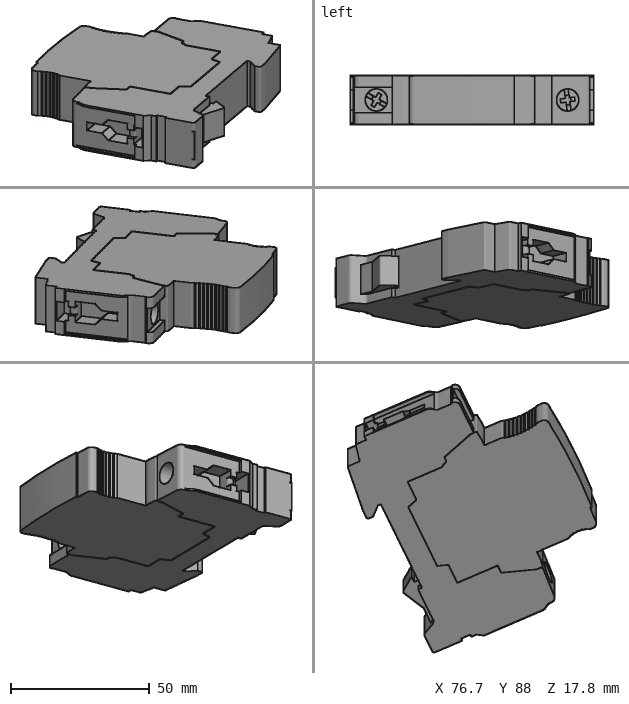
import cadquery as cq
import math


HEIGHT = 88.0
WIDTH = 17.8
TOP = HEIGHT / 2

SHOULDER_Y = 42.5
HOUSING_X = 27.3
FOOT_X = 76.1
RAIL_X = 69.3
CORNER_R = 1.9
GRIP_DIP = 0.3

MODULE_WIDTH = 17.4
COVER_Y = 22.7
WING_Y = 28.7
WING_X = 25.8
WING_CORNER_R = 0.4
FRONT_CROWN_R = 211.2
FRONT_CORNER_R = 1.9
GROOVE_PITCH = 1.5
GROOVE_R = 0.31
GRIP_SAG = 1.1
UPPER_GRIP = (4.4, 19.2)
LOWER_GRIP = (4.75, 13.4)

LATCH_WIDTH = 10.9
LATCH_TIP_X = 76.65
LATCH_TIP_TRIM = 0.2

TERMINAL_Y = 34.5
SCREW_D = 8.0
LOWER_SCREW_DEPTH = 4.8
UPPER_SCREW_DEPTH = 7.9
LOWER_SCREW_TURN = -8
UPPER_SCREW_TURN = -60
SCREW_SLOT_W = 1.4
SCREW_SLOT_DEPTH = 0.7
CROSS_ARM = 5.2
CROSS_UPRIGHT = 3.3
CROSS_DEPTH = 1.2
TROUGH_WIDTH = 9.2
TROUGH_DEPTH = 1.85

PAD_RECESS_WIDTH = 16.4
PAD_RECESS_START = 29.4
PAD_RECESS_END = 53.1
ENTRY_DEPTH = 8.45
CLAMP_START = 52.1
CLAMP_END = 56.1
CLAMP_WIDTH = 7.4
KEYHOLE_START = 33.4
KEYHOLE_END = 49.5
KEYHOLE_WIDTH = 8.0
WEB_SLOT_WIDTH = 3.3
WEB_SLOT_DEPTH = 1.6
WEB_ROUND = 0.9
UPPER_PAD_SHIFT = 7.1


def rounded_prism(corners, width):
    """Prism centred on Z = 0; each corner is (x, y) or (x, y, radius)."""
    path = []
    for i, corner in enumerate(corners):
        x, y = corner[:2]
        radius = corner[2] if len(corner) == 3 else 0
        if radius == 0:
            path.append([(x, y)])
            continue
        before = corners[i - 1]
        after = corners[(i + 1) % len(corners)]
        a = cq.Vector(before[0] - x, before[1] - y).normalized()
        b = cq.Vector(after[0] - x, after[1] - y).normalized()
        half = a.getAngle(b) / 2
        setback = radius / math.tan(half)
        to_arc = radius / math.sin(half) - radius
        middle = (a + b).normalized() * to_arc
        path.append([
            (x + a.x * setback, y + a.y * setback),
            (x + middle.x, y + middle.y),
            (x + b.x * setback, y + b.y * setback),
        ])
    outline = cq.Workplane("XY").moveTo(*path[0][-1])
    for points in path[1:] + path[:1]:
        outline = outline.lineTo(*points[0])
        if len(points) == 3:
            outline = outline.threePointArc(points[1], points[2])
    return outline.close().extrude(width / 2, both=True)


def block(x0, x1, y0, y1, width):
    """Box between two X and two Y limits, centred on Z = 0."""
    return cq.Workplane("XY").box(x1 - x0, y1 - y0, width).translate(((x0 + x1) / 2, (y0 + y1) / 2, 0))


def make_base():
    """Terminal housing and rail foot, counterclockwise from the lower front corner."""
    return rounded_prism([
        (26.4, -28.7, 0.8),
        (HOUSING_X, -SHOULDER_Y, CORNER_R),
        (30.2, -SHOULDER_Y, 2.6),
        (32.7, -TOP, 2.6),
        (56.6, -TOP),
        (59.0, -SHOULDER_Y),
        (61.0, -SHOULDER_Y),
        (61.0, -41.6),
        (64.6, -41.6),
        (64.6, -SHOULDER_Y),
        (FOOT_X, -SHOULDER_Y, 0.9),
        (FOOT_X, -34.5, 1.3),
        (70.75, -31.8, 1.3),
        (70.75, -17.9),
        (RAIL_X, -17.9),
        (RAIL_X, 17.6),
        (70.4, 17.6),
        (73.7, 14.4),
        (FOOT_X, 14.4, 0.8),
        (FOOT_X, 18.3),
        (74.1, 35.9, 0.4),
        (RAIL_X, 35.9),
        (67.85, 42.4, 0.4),
        (63.7, 42.4),
        (63.7, TOP),
        (38.3, TOP, 1.8),
        (35.5, SHOULDER_Y - GRIP_DIP, 1.8),
        (30.1, SHOULDER_Y - GRIP_DIP),
        (29.5, SHOULDER_Y),
        (HOUSING_X, SHOULDER_Y, CORNER_R),
        (HOUSING_X, WING_Y - 0.9),
        (44.0, 0),
        (HOUSING_X, -WING_Y),
    ], WIDTH)


def thumb_grip(x0, x1, side):
    """Cutter for a grooved hollow in the cover, on the +Y (side 1) or -Y (side -1) edge."""
    half_chord = (x1 - x0) / 2
    middle_x = (x0 + x1) / 2
    radius = (half_chord ** 2 + GRIP_SAG ** 2) / (2 * GRIP_SAG)
    centre_y = COVER_Y - GRIP_SAG + radius
    hollow = cq.Workplane("XY").center(middle_x, side * centre_y).circle(radius)
    within_chord = cq.Workplane("XY").box(2 * half_chord, HEIGHT, WIDTH).translate((middle_x, 0, 0))
    cutter = hollow.extrude(WIDTH / 2, both=True).intersect(within_chord)
    steps = int((half_chord - GROOVE_R) / GROOVE_PITCH)
    for step in range(-steps, steps + 1):
        offset = step * GROOVE_PITCH
        groove_y = centre_y - math.sqrt(radius ** 2 - offset ** 2)
        groove = cq.Workplane("XY").center(middle_x + offset, side * groove_y).polygon(4, 2 * GROOVE_R)
        cutter = cutter.union(groove.extrude(WIDTH / 2, both=True))
    return cutter


MODULE_OUTLINE = [
    (0, -15.2),
    (1.2, -15.2),
    (1.7, -COVER_Y, FRONT_CORNER_R),
    (WING_X, -COVER_Y),
    (WING_X, -25.1),
    (26.1, -WING_Y, WING_CORNER_R),
    (28.6, -WING_Y, 2.6),
    (40.8, -24.55),
    (40.8, -21.5),
    (56.85, -21.5),
    (56.85, -13.8),
    (60.7, -12.5),
    (60.7, 12.5),
    (56.85, 13.8),
    (56.85, 21.5),
    (43.4, 21.5),
    (40.8, 22.8),
    (40.8, 24.55),
    (28.6, WING_Y, 2.6),
    (26.1, WING_Y, WING_CORNER_R),
    (WING_X, 25.1),
    (WING_X, COVER_Y),
    (0, COVER_Y),
]


def make_module():
    """Front module with a crowned front face and two grooved thumb hollows."""
    module = rounded_prism(MODULE_OUTLINE, MODULE_WIDTH)
    crown = cq.Workplane("XY").center(FRONT_CROWN_R, 0).circle(FRONT_CROWN_R).extrude(WIDTH / 2, both=True)
    module = module.intersect(crown)
    corner = cq.selectors.NearestToPointSelector((0, COVER_Y, 0))
    module = module.edges("|Z").edges(corner).fillet(FRONT_CORNER_R)
    module = module.cut(thumb_grip(*UPPER_GRIP, 1))
    return module.cut(thumb_grip(*LOWER_GRIP, -1))


def make_latch():
    """Sliding latch: a hook behind the rail and a bar that runs through the foot."""
    return rounded_prism([
        (66.0, -15.8),
        (71.4, -15.8),
        (71.4, -13.55),
        (LATCH_TIP_X + LATCH_TIP_TRIM, -17.7, 0.7),
        (72.5, -26.5),
        (72.5, -36.1),
        (76.0, -36.1),
        (76.0, -SHOULDER_Y),
        (66.0, -SHOULDER_Y),
    ], LATCH_WIDTH)


def screw_well(y, depth, turn):
    """Cutter for a round well with a slotted cross-head screw at its bottom."""
    head_x = HOUSING_X + depth
    well = cq.Workplane("YZ", origin=(WING_X, y, 0)).circle(SCREW_D / 2).extrude(head_x - WING_X)
    face = cq.Workplane("YZ", origin=(head_x, y, 0)).transformed(rotate=(0, 0, turn))
    slot = face.rect(SCREW_SLOT_W, SCREW_D).extrude(SCREW_SLOT_DEPTH)
    disc = face.circle(SCREW_D / 2).extrude(SCREW_SLOT_DEPTH)
    cross = face.rect(CROSS_ARM, SCREW_SLOT_W).extrude(CROSS_DEPTH)
    upright = face.rect(SCREW_SLOT_W, CROSS_UPRIGHT).extrude(CROSS_DEPTH)
    return well.union(slot.intersect(disc)).union(cross).union(upright)


def wire_entry():
    """Cutter for the lower side pad: shallow recess, keyhole, slotted web and clamp pocket."""
    recess = block(PAD_RECESS_START, PAD_RECESS_END, -TOP, -SHOULDER_Y, PAD_RECESS_WIDTH)
    narrow = WEB_SLOT_WIDTH / 2
    wide = KEYHOLE_WIDTH / 2
    keyhole_side = [(KEYHOLE_START, narrow), (39.4, narrow), (42.0, wide), (KEYHOLE_END, wide)]
    keyhole_back = [(x, -z) for x, z in reversed(keyhole_side)]
    keyhole = cq.Workplane("XZ", origin=(0, -TOP, 0)).polyline(keyhole_side + keyhole_back).close()
    keyhole = keyhole.extrude(-ENTRY_DEPTH)
    clamp = block(CLAMP_START, CLAMP_END, -TOP, ENTRY_DEPTH - TOP, CLAMP_WIDTH)
    web_top = WEB_SLOT_DEPTH - SHOULDER_Y
    web_slot = block(KEYHOLE_END, CLAMP_START, -SHOULDER_Y, web_top + WEB_ROUND, WEB_SLOT_WIDTH)
    web = block(KEYHOLE_END, CLAMP_START, web_top, web_top + 2 * WEB_ROUND, WEB_SLOT_WIDTH)
    web_slot = web_slot.cut(web.edges("|Z and <Y").fillet(WEB_ROUND))
    return recess.union(keyhole).union(clamp).union(web_slot)


base = make_base().cut(rounded_prism(MODULE_OUTLINE, WIDTH))
body = base.union(make_module()).union(make_latch())

lower_entry = wire_entry()
upper_entry = lower_entry.mirror("XZ").translate((UPPER_PAD_SHIFT, 0, 0))
trough = block(WING_X, HOUSING_X + TROUGH_DEPTH, WING_Y, TOP, TROUGH_WIDTH)
body = body.cut(lower_entry).cut(upper_entry).cut(trough)

body = body.cut(screw_well(TERMINAL_Y, UPPER_SCREW_DEPTH, UPPER_SCREW_TURN))
result = body.cut(screw_well(-TERMINAL_Y, LOWER_SCREW_DEPTH, LOWER_SCREW_TURN))